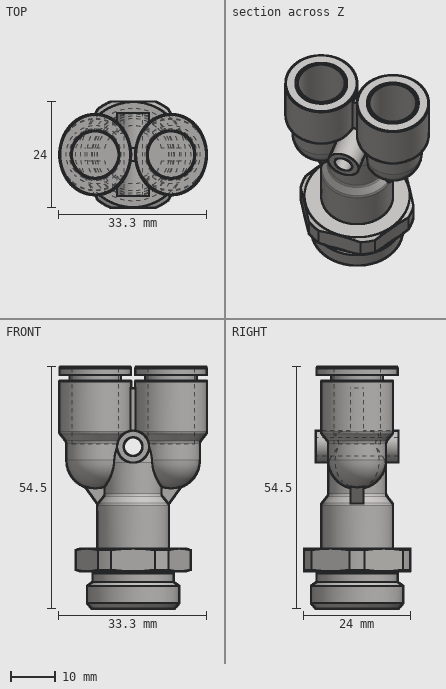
import cadquery as cq
import math

total_height = 54.5
branch_pitch = 17.05
branch_x = branch_pitch / 2

wide_radius = 8.1
narrow_radius = 6.55
shoulder_height = 2.0
shoulder_fillet = 1.0
selection_margin = 0.05

thread_radius = 10.4
thread_neck_radius = 9.15
thread_root_radius = 8.65
thread_chamfer = 1.25
thread_lead_radius = 9.3
thread_cone_bottom = 5.1
thread_cone_top = 6.05
thread_root_bottom = 7.95

hex_bottom = 8.4
hex_top = 13.55
hex_across_flats = 24.0
hex_corner_radius = 12.95
hex_bevel_radius = 11.8
hex_bevel_height = 0.4

stem_shoulder_bottom = 23.55
stem_dome_z = 32.9

socket_ball_z = 33.45
socket_shoulder_bottom = 37.55
socket_top = 51.3
socket_edge_chamfer = 0.15

collar_width = 16.15
collar_length = 18.3
collar_bottom = 52.55
collar_edge_drop = 0.45
collar_edge_inset = 0.2
collar_neck_radius = 5.85
bore_radius = 5.25
bore_depth = 17.45
bore_chamfer = 0.2

tube_z = 36.45
tube_radius = 3.6
tube_hole_radius = 2.05
tube_length = 18.65

web_thickness = 2.9
web_top = 49.6
gusset_foot_z = 23.65
gusset_tip_x = 10.8
gusset_tip_z = 27.35


def cylinder(radius, bottom, top, x=0.0):
    """Upright cylinder between two heights."""
    return cq.Workplane("XY", origin=(x, 0, bottom)).circle(radius).extrude(top - bottom)


def revolve_profile(points):
    """Solid of revolution about Z from (radius, height) points."""
    return cq.Workplane("XZ").polyline(points).close().revolve(360, (0, 0), (0, 1))


def rounded_shoulder(profile, shoulder_bottom):
    """Revolve a stepped profile and round both edges of its cone."""
    shoulder_top = shoulder_bottom + shoulder_height
    near_cone = cq.selectors.BoxSelector(
        (-thread_radius, -thread_radius, shoulder_bottom - selection_margin),
        (thread_radius, thread_radius, shoulder_top + selection_margin),
        boundingbox=True,
    )
    return revolve_profile(profile).edges("%CIRCLE").edges(near_cone).fillet(shoulder_fillet)


def make_thread_end():
    return revolve_profile([
        (0, 0),
        (thread_lead_radius, 0),
        (thread_radius, thread_chamfer),
        (thread_radius, thread_cone_bottom),
        (thread_neck_radius, thread_cone_top),
        (thread_neck_radius, thread_root_bottom),
        (thread_root_radius, hex_bottom),
        (0, hex_bottom),
    ])


def make_hex():
    """Hexagon with flats facing Y, turned down to a bevelled round blank."""
    hex_diameter = hex_across_flats / math.cos(math.pi / 6)
    prism = (
        cq.Workplane("XY", origin=(0, 0, hex_bottom))
        .polygon(6, hex_diameter)
        .extrude(hex_top - hex_bottom)
    )
    blank = revolve_profile([
        (0, hex_bottom),
        (hex_bevel_radius, hex_bottom),
        (hex_corner_radius, hex_bottom + hex_bevel_height),
        (hex_corner_radius, hex_top - hex_bevel_height),
        (hex_bevel_radius, hex_top),
        (0, hex_top),
    ])
    return prism.intersect(blank)


def make_stem():
    profile = [
        (0, hex_bottom),
        (wide_radius, hex_bottom),
        (wide_radius, stem_shoulder_bottom),
        (narrow_radius, stem_shoulder_bottom + shoulder_height),
        (narrow_radius, stem_dome_z),
        (0, stem_dome_z),
    ]
    dome = cq.Workplane("XY", origin=(0, 0, stem_dome_z)).sphere(narrow_radius)
    return rounded_shoulder(profile, stem_shoulder_bottom).union(dome)


def make_socket(x):
    """Push-in socket barrel with a ball-shaped lower end."""
    profile = [
        (0, socket_ball_z),
        (narrow_radius, socket_ball_z),
        (narrow_radius, socket_shoulder_bottom),
        (wide_radius, socket_shoulder_bottom + shoulder_height),
        (wide_radius, socket_top),
        (0, socket_top),
    ]
    barrel = rounded_shoulder(profile, socket_shoulder_bottom)
    barrel = barrel.faces(">Z").edges().chamfer(socket_edge_chamfer)
    ball = cq.Workplane("XY", origin=(0, 0, socket_ball_z)).sphere(narrow_radius)
    return barrel.union(ball).translate((x, 0, 0))


def make_collar(x):
    """Oval release collar on its round neck."""
    collar = (
        cq.Workplane("XY", origin=(x, 0, collar_bottom))
        .ellipse(collar_width / 2, collar_length / 2)
        .extrude(total_height - collar_bottom)
        .faces(">Z").edges().chamfer(collar_edge_drop, collar_edge_inset)
    )
    return collar.union(cylinder(collar_neck_radius, socket_top, collar_bottom, x))


def make_bore(x):
    """Blind tube bore with a chamfered mouth."""
    mouth_radius = bore_radius + bore_chamfer
    bore = revolve_profile([
        (0, total_height - bore_depth),
        (bore_radius, total_height - bore_depth),
        (bore_radius, total_height - bore_chamfer),
        (mouth_radius, total_height),
        (0, total_height),
    ])
    return bore.translate((x, 0, 0))


def make_cross_cylinder(radius):
    """Cylinder along Y, centred on the part."""
    return (
        cq.Workplane("XZ", origin=(0, 0, tube_z))
        .circle(radius)
        .extrude(tube_length / 2, both=True)
    )


def make_web():
    """Thin wall joining the two sockets."""
    return (
        cq.Workplane("XY", origin=(0, 0, tube_z))
        .rect(branch_pitch - 2 * narrow_radius, web_thickness)
        .extrude(web_top - tube_z)
    )


def make_gussets():
    """Thin plate bracing both ball ends against the stem."""
    return (
        cq.Workplane("XZ")
        .polyline([
            (-wide_radius, gusset_foot_z),
            (wide_radius, gusset_foot_z),
            (gusset_tip_x, gusset_tip_z),
            (branch_x, socket_ball_z),
            (-branch_x, socket_ball_z),
            (-gusset_tip_x, gusset_tip_z),
        ])
        .close()
        .extrude(web_thickness / 2, both=True)
    )


result = make_thread_end().union(make_hex()).union(make_stem())
result = result.union(make_gussets()).union(make_web())
for side in (-1, 1):
    result = result.union(make_socket(side * branch_x)).union(make_collar(side * branch_x))
result = result.union(make_cross_cylinder(tube_radius))

for side in (-1, 1):
    result = result.cut(make_bore(side * branch_x))
result = result.cut(make_cross_cylinder(tube_hole_radius))